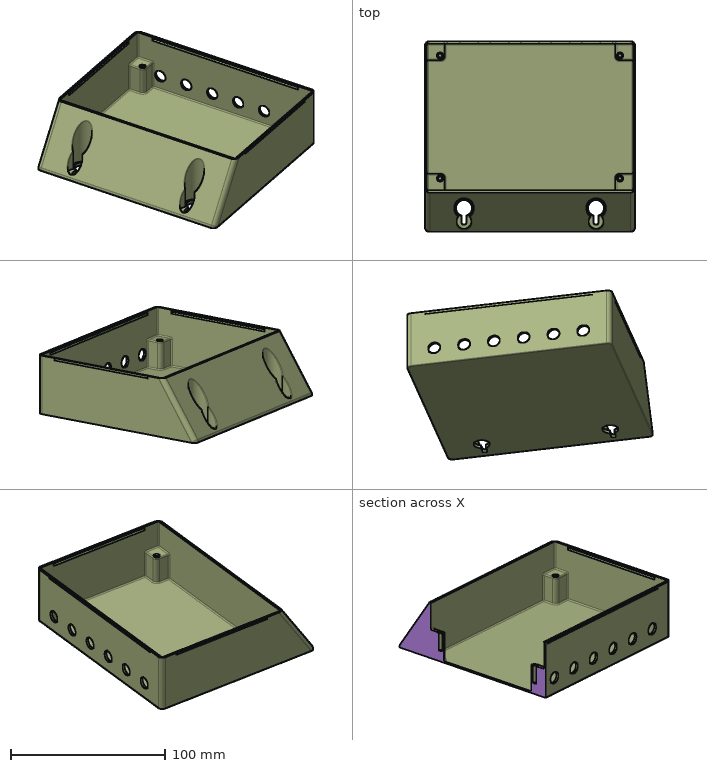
import cadquery as cq
WIDTH = 136.525
DEPTH = 123.825
HEIGHT = 39.6875
RIM_DEPTH = 98.425
CORNER_RADIUS = 3.175
NOSE_HEIGHT = 1.5875
NOSE_RADIUS = 3.175
BASE_RADIUS = 0.5

SIDE_WALL = 1.4
BACK_WALL = 1.5875
FRONT_WALL = 1.5875
FLOOR = 1.5875
INNER_RADIUS = 0.79375

POST_TOP = 20.64
POST_RADIUS = 3.0
SCREW_INSET_X = 9.9
SCREW_INSET_Y = 9.35
SCREW_DIAMETER = 2.54
SCREW_DEPTH = 12.7
SCREW_MOUTH = 0.79375

CABLE_HOLE_COUNT = 6
CABLE_HOLE_DIAMETER = 7.9375
CABLE_HOLE_PITCH = 19.84375
CABLE_HOLE_HEIGHT = 11.6

GROOVE_MARGIN = 12.7
GROOVE_DROP = 1.65
GROOVE_DEPTH = 1.1
GROOVE_HALF_HEIGHT = 1.0

KEYHOLE_INSET = 25.4
HEAD_FROM_NOSE = 15.5
SLOT_FROM_NOSE = 6.35
SLOT_WELL_FROM_NOSE = 6.8
HEAD_DIAMETER = 10.32
SLOT_WIDTH = 3.175
HEAD_WELL_DIAMETER = 12.7
SLOT_WELL_DIAMETER = 9.6
WELL_FLOOR = 2.4
WELL_MOUTH_RADIUS = 0.35

BACK_Y = DEPTH / 2
NOSE_Y = -DEPTH / 2
RIM_FRONT_Y = BACK_Y - RIM_DEPTH
KEYHOLE_X = WIDTH / 2 - KEYHOLE_INSET
POST_REACH_X = SCREW_INSET_X + POST_RADIUS
POST_REACH_Y = SCREW_INSET_Y + POST_RADIUS


def side_prism(points, width):
    """Prism along X, centred on X = 0, from a (Y, Z) outline."""
    return cq.Workplane("YZ").polyline(points).close().extrude(width / 2, both=True)


def block(x_min, x_max, y_min, y_max, z_min, z_max):
    size = (x_max - x_min, y_max - y_min, z_max - z_min)
    return cq.Workplane("XY").box(*size, centered=False).translate((x_min, y_min, z_min))


def is_upright(edge):
    return edge.BoundingBox().zlen > HEIGHT / 2


def outer_body():
    outline = [
        (NOSE_Y, 0),
        (BACK_Y, 0),
        (BACK_Y, HEIGHT),
        (RIM_FRONT_Y, HEIGHT),
        (NOSE_Y, NOSE_HEIGHT),
    ]
    body = side_prism(outline, WIDTH)
    nose_edge = cq.selectors.NearestToPointSelector((0, NOSE_Y, NOSE_HEIGHT))
    body = body.edges(nose_edge).fillet(NOSE_RADIUS)
    body = body.edges().filter(is_upright).fillet(CORNER_RADIUS)
    return body.edges("<Z").fillet(BASE_RADIUS)


def corner_post(x_side, y_side):
    """Screw post in one corner, with its free upright edge rounded."""
    outer_x = x_side * WIDTH / 2
    inner_x = outer_x - x_side * POST_REACH_X
    outer_y = BACK_Y if y_side > 0 else RIM_FRONT_Y
    inner_y = outer_y - y_side * POST_REACH_Y
    post = block(*sorted((outer_x, inner_x)), *sorted((outer_y, inner_y)), 0, POST_TOP)
    free_edge = cq.selectors.NearestToPointSelector((inner_x, inner_y, POST_TOP / 2))
    return post.edges(free_edge).fillet(POST_RADIUS)


def cavity():
    """Inside space of the box, with the posts standing in it and all inside edges rounded."""
    side_x = WIDTH / 2 - SIDE_WALL
    space = block(-side_x, side_x, RIM_FRONT_Y + FRONT_WALL, BACK_Y - BACK_WALL, FLOOR, HEIGHT)
    for x_side in (-1, 1):
        for y_side in (-1, 1):
            space = space.cut(corner_post(x_side, y_side))
    return space.faces("not >Z").edges("not >Z").fillet(INNER_RADIUS)


def keyhole_column(head_diameter, neck_width, end_diameter, end_from_nose, height):
    """Upright keyhole shape: round head at the origin, neck toward -Y and a round end."""
    end_y = end_from_nose - HEAD_FROM_NOSE
    head = cq.Workplane("XY").circle(head_diameter / 2).extrude(height)
    neck = block(-neck_width / 2, neck_width / 2, end_y, 0, 0, height)
    end = cq.Workplane("XY").center(0, end_y).circle(end_diameter / 2).extrude(height)
    return head.union(neck).union(end)


def keyhole_places():
    return [(side * KEYHOLE_X, NOSE_Y + HEAD_FROM_NOSE, 0) for side in (-1, 1)]


def keyhole_well():
    """Upright well from above its floor up through the slope."""
    well = keyhole_column(
        HEAD_WELL_DIAMETER, SLOT_WIDTH, SLOT_WELL_DIAMETER, SLOT_WELL_FROM_NOSE, HEIGHT
    )
    return well.translate((0, 0, WELL_FLOOR))


def keyhole_opening():
    """Keyhole through the floor of the well."""
    return keyhole_column(HEAD_DIAMETER, SLOT_WIDTH, SLOT_WIDTH, SLOT_FROM_NOSE, WELL_FLOOR)


def is_well_mouth(edge):
    """True for the edges where a keyhole well breaks through the slope."""
    at_keyhole = abs(abs(edge.Center().x) - KEYHOLE_X) < HEAD_WELL_DIAMETER / 2
    above_floor = edge.BoundingBox().zmin > WELL_FLOOR + WELL_MOUTH_RADIUS
    return at_keyhole and above_floor


def screw_hole():
    """Blind hole downward from the origin with a countersunk mouth."""
    radius = SCREW_DIAMETER / 2
    hole = cq.Workplane("XY").circle(radius).extrude(-SCREW_DEPTH)
    mouth = cq.Solid.makeCone(radius, radius + 2 * SCREW_MOUTH, 2 * SCREW_MOUTH)
    return hole.union(mouth.translate(cq.Vector(0, 0, -SCREW_MOUTH)))


def screw_places():
    x = WIDTH / 2 - SCREW_INSET_X
    rows = (BACK_Y - SCREW_INSET_Y, RIM_FRONT_Y + SCREW_INSET_Y)
    return [(side * x, y, POST_TOP) for side in (-1, 1) for y in rows]


def cable_holes():
    return (
        cq.Workplane("XZ", origin=(0, BACK_Y, CABLE_HOLE_HEIGHT))
        .rarray(CABLE_HOLE_PITCH, 1, CABLE_HOLE_COUNT, 1)
        .circle(CABLE_HOLE_DIAMETER / 2)
        .extrude(2 * BACK_WALL)
    )


def groove(length):
    """V groove along X whose mouth lies on the XZ plane and whose bottom points to +Y."""
    outline = [(0, -GROOVE_HALF_HEIGHT), (GROOVE_DEPTH, 0), (0, GROOVE_HALF_HEIGHT)]
    return side_prism(outline, length)


def lid_grooves():
    z = HEIGHT - GROOVE_DROP
    back = groove(WIDTH - 2 * GROOVE_MARGIN).translate((0, BACK_Y - BACK_WALL, z))
    side = groove(RIM_DEPTH - 2 * GROOVE_MARGIN)
    side_y = BACK_Y - RIM_DEPTH / 2
    side_x = WIDTH / 2 - SIDE_WALL
    left = side.rotate((0, 0, 0), (0, 0, 1), 90).translate((-side_x, side_y, z))
    right = side.rotate((0, 0, 0), (0, 0, 1), -90).translate((side_x, side_y, z))
    return back.union(left).union(right)


def build():
    part = outer_body()
    for place in keyhole_places():
        part = part.cut(keyhole_well().translate(place))
    part = part.edges().filter(is_well_mouth).fillet(WELL_MOUTH_RADIUS)
    for place in keyhole_places():
        part = part.cut(keyhole_opening().translate(place))
    part = part.cut(cavity())
    for place in screw_places():
        part = part.cut(screw_hole().translate(place))
    return part.cut(cable_holes()).cut(lid_grooves())


result = build()